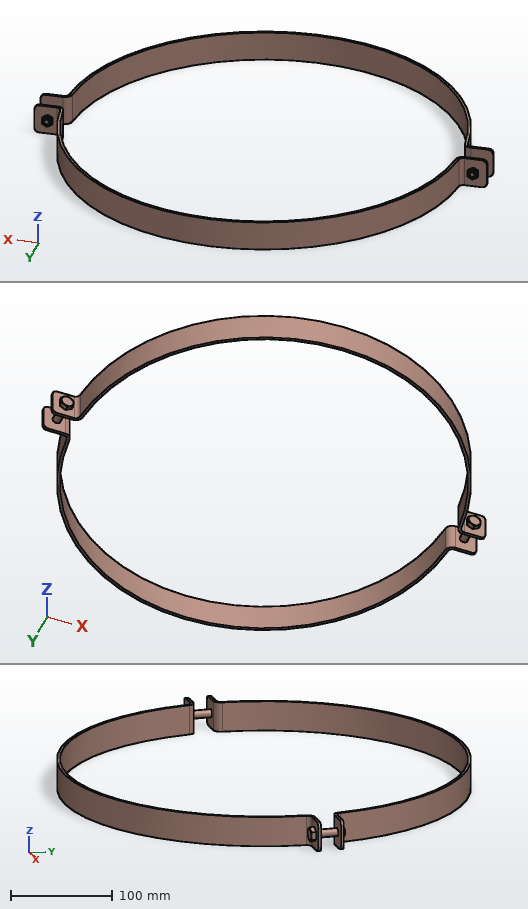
import cadquery as cq
import math

length = 462.5
ring_outer_radius = 204.5
thickness = 3.0
band_height = 30.0
tab_gap = 20.5
bend_radius = 4.5
tab_corner_radius = 5.0

bolt_x = 217.5
shank_diameter = 8.5
stud_diameter = 5.0
head_flats = 13.0
head_height = 5.0
head_chamfer_diameter = 12.5
nut_flats = 10.0
nut_height = 4.0
nut_chamfer_diameter = 8.5
chamfer_angle = math.radians(30)

tab_tip_x = length / 2
tab_inner_y = tab_gap / 2
tab_outer_y = tab_inner_y + thickness
ring_inner_radius = ring_outer_radius - thickness
convex_radius = bend_radius + thickness
sides = (-1, 1)

bend_y = tab_outer_y + bend_radius
bend_x = math.sqrt((ring_outer_radius + bend_radius) ** 2 - bend_y**2)
bend_direction = math.atan2(bend_y, bend_x)


def ring_end(radius):
    """Point where the ring arc of this radius meets the bend."""
    return (radius * math.cos(bend_direction), radius * math.sin(bend_direction))


def bend_middle(radius):
    """Middle of the bend arc of this radius, between its ring end and its tab end."""
    toward_ring = math.pi + bend_direction
    toward_tab = 1.5 * math.pi
    direction = (toward_ring + toward_tab) / 2
    return (bend_x + radius * math.cos(direction), bend_y + radius * math.sin(direction))


def mirrored(point):
    """The same point on the -X side."""
    return (-point[0], point[1])


def cylinder(x, y, diameter, depth):
    """Cylinder along +Y that starts at (x, y, 0)."""
    return cq.Workplane("XZ", origin=(x, y, 0)).circle(diameter / 2).extrude(-depth)


def half_band():
    """The +Y half ring with its two drilled tabs."""
    outer_end = ring_end(ring_outer_radius)
    inner_end = ring_end(ring_inner_radius)
    outer_bend = bend_middle(bend_radius)
    inner_bend = bend_middle(convex_radius)
    band = (
        cq.Workplane("XY", origin=(0, 0, -band_height / 2))
        .moveTo(tab_tip_x, tab_outer_y)
        .lineTo(bend_x, tab_outer_y)
        .threePointArc(outer_bend, outer_end)
        .threePointArc((0, ring_outer_radius), mirrored(outer_end))
        .threePointArc(mirrored(outer_bend), (-bend_x, tab_outer_y))
        .lineTo(-tab_tip_x, tab_outer_y)
        .lineTo(-tab_tip_x, tab_inner_y)
        .lineTo(-bend_x, tab_inner_y)
        .threePointArc(mirrored(inner_bend), mirrored(inner_end))
        .threePointArc((0, ring_inner_radius), inner_end)
        .threePointArc(inner_bend, (bend_x, tab_inner_y))
        .lineTo(tab_tip_x, tab_inner_y)
        .close()
        .extrude(band_height)
    )
    band = band.edges("|Y").edges("<X or >X").fillet(tab_corner_radius)
    for side in sides:
        band = band.cut(cylinder(side * bolt_x, tab_inner_y, shank_diameter, thickness))
    return band


def chamfered_hexagon(x, seat_y, direction, flats, height, chamfer_diameter):
    """Hexagonal prism from its seat toward direction * Y, with its free end chamfered by a cone.

    Two of its corners point up and down.
    """
    corner_radius = flats / math.sqrt(3)
    end_radius = chamfer_diameter / 2
    chamfer_depth = (corner_radius - end_radius) * math.tan(chamfer_angle)
    end_y = seat_y + direction * height
    corner_y = end_y - direction * chamfer_depth
    prism = (
        cq.Workplane("XZ", origin=(x, seat_y, 0))
        .transformed(rotate=(0, 0, 90))
        .polygon(6, 2 * corner_radius)
        .extrude(-direction * height)
    )
    cone = (
        cq.Workplane("XY")
        .moveTo(x, seat_y)
        .lineTo(x + corner_radius, seat_y)
        .lineTo(x + corner_radius, corner_y)
        .lineTo(x + end_radius, end_y)
        .lineTo(x, end_y)
        .close()
        .revolve(360, (x, 0, 0), (x, 1, 0))
    )
    return prism.intersect(cone)


def bolt(x):
    """Bolt with its head against the -Y tab and a thin stud beyond the +Y tab for the nut."""
    head = chamfered_hexagon(x, -tab_outer_y, -1, head_flats, head_height, head_chamfer_diameter)
    shank = cylinder(x, -tab_outer_y, shank_diameter, 2 * tab_outer_y)
    stud = cylinder(x, tab_outer_y, stud_diameter, nut_height)
    return head.union(shank).union(stud)


def nut(x):
    """Hexagonal nut on the stud, against the +Y tab."""
    body = chamfered_hexagon(x, tab_outer_y, 1, nut_flats, nut_height, nut_chamfer_diameter)
    return body.cut(cylinder(x, tab_outer_y, stud_diameter, nut_height))


back_band = half_band()
front_band = back_band.mirror("XZ")
bolts = [bolt(side * bolt_x) for side in sides]
nuts = [nut(side * bolt_x) for side in sides]

result = cq.Compound.makeCompound(
    [
        back_band.solids().val(),
        front_band.solids().val(),
        *[body.solids().val() for body in bolts],
        *[body.solids().val() for body in nuts],
    ]
)